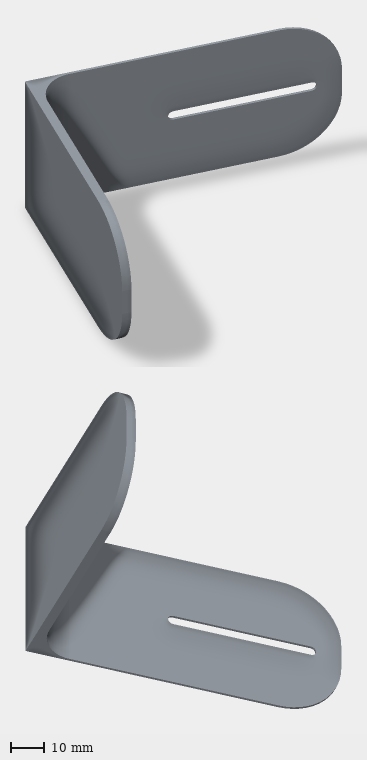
import cadquery as cq
import math

plate_height = 48.8
wall_length = 100.0
wall_thickness = 0.8
arm_length = 80.0
arm_thickness = 3.0
arm_slope = 3.0
corner_radius = 20.0
bend_radius = 10.0
slot_width = 3.2
slot_near_end = 45.0
slot_far_end = 92.0

mid_height = plate_height / 2


def rounded_plate(length, thickness):
    """Plate along +X, thickness along +Y, with its far corners rounded."""
    return (
        cq.Workplane("XY")
        .box(length, thickness, plate_height, centered=False)
        .edges("|Y and >X")
        .fillet(corner_radius)
    )


wall = (
    rounded_plate(wall_length, wall_thickness)
    .rotate((0, 0, 0), (0, 0, 1), 90)
    .translate((wall_thickness, 0, 0))
)

arm = (
    rounded_plate(arm_length, arm_thickness)
    .rotate((0, 0, 0), (0, 0, 1), arm_slope)
    .translate((wall_thickness, 0, 0))
)

slope = math.radians(arm_slope)
inner_corner_y = arm_thickness / math.cos(slope)
tangent_length = bend_radius / math.tan((math.pi / 2 - slope) / 2)
wall_tangent = (wall_thickness, inner_corner_y + tangent_length)
arm_tangent = (
    wall_thickness + tangent_length * math.cos(slope),
    inner_corner_y + tangent_length * math.sin(slope),
)
arc_center = (wall_thickness + bend_radius, wall_tangent[1])
arc_middle_angle = math.pi + (math.pi / 2 + slope) / 2
arc_middle = (
    arc_center[0] + bend_radius * math.cos(arc_middle_angle),
    arc_center[1] + bend_radius * math.sin(arc_middle_angle),
)
bend = (
    cq.Workplane("XY")
    .moveTo(wall_thickness, 0)
    .lineTo(*wall_tangent)
    .threePointArc(arc_middle, arm_tangent)
    .lineTo(arm_tangent[0], arm_tangent[1] - inner_corner_y)
    .close()
    .extrude(plate_height)
)

slot = (
    cq.Workplane("YZ")
    .center((slot_near_end + slot_far_end) / 2, mid_height)
    .slot2D(slot_far_end - slot_near_end, slot_width)
    .extrude(wall_thickness)
)

result = wall.union(arm).union(bend).cut(slot)